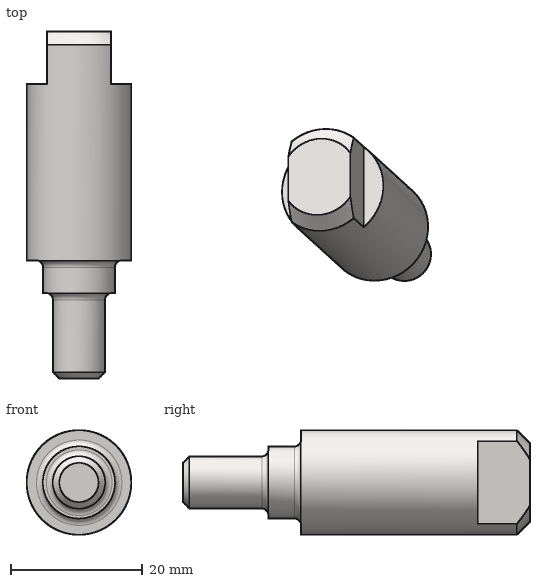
import cadquery as cq

total_length = 53.0
body_length = 35.0
collar_length = 5.0
pin_length = total_length - body_length - collar_length

body_diameter = 16.0
collar_diameter = 11.0
pin_diameter = 8.0

pin_chamfer = 1.0
body_chamfer = 2 * pin_chamfer
fillet_radius = 1.0

flat_length = 8.0
across_flats = 9.8


def cylinder(diameter, start_y, length):
    """Solid cylinder on the Y axis, from start_y towards -Y."""
    return cq.Workplane("XZ", origin=(0, start_y, 0)).circle(diameter / 2).extrude(length)


def stepped_pin():
    """Body, collar and pin with both ends chamfered and both inner corners filleted."""
    body = cylinder(body_diameter, body_length, body_length).faces(">Y").chamfer(body_chamfer)
    collar = cylinder(collar_diameter, 0, collar_length)
    pin = cylinder(pin_diameter, -collar_length, pin_length).faces("<Y").chamfer(pin_chamfer)
    blank = body.union(collar).union(pin)

    for diameter, corner_y in ((collar_diameter, 0), (pin_diameter, -collar_length)):
        corner = cq.selectors.BoxSelector(
            (-diameter, corner_y - fillet_radius / 2, -diameter),
            (diameter, corner_y + fillet_radius / 2, diameter),
            boundingbox=False,
        )
        corner_edges = blank.edges(corner).edges(cq.selectors.RadiusNthSelector(0))
        blank = corner_edges.fillet(fillet_radius)
    return blank


def cut_flats(blank):
    """Cut two parallel flats, facing -X and +X, at the +Y end of the body."""
    cut_depth = (body_diameter - across_flats) / 2
    for side in (-1, 1):
        cutter = cq.Workplane("XY").box(cut_depth, flat_length, body_diameter).translate(
            (side * (across_flats + cut_depth) / 2, body_length - flat_length / 2, 0)
        )
        blank = blank.cut(cutter)
    return blank


result = cut_flats(stepped_pin())